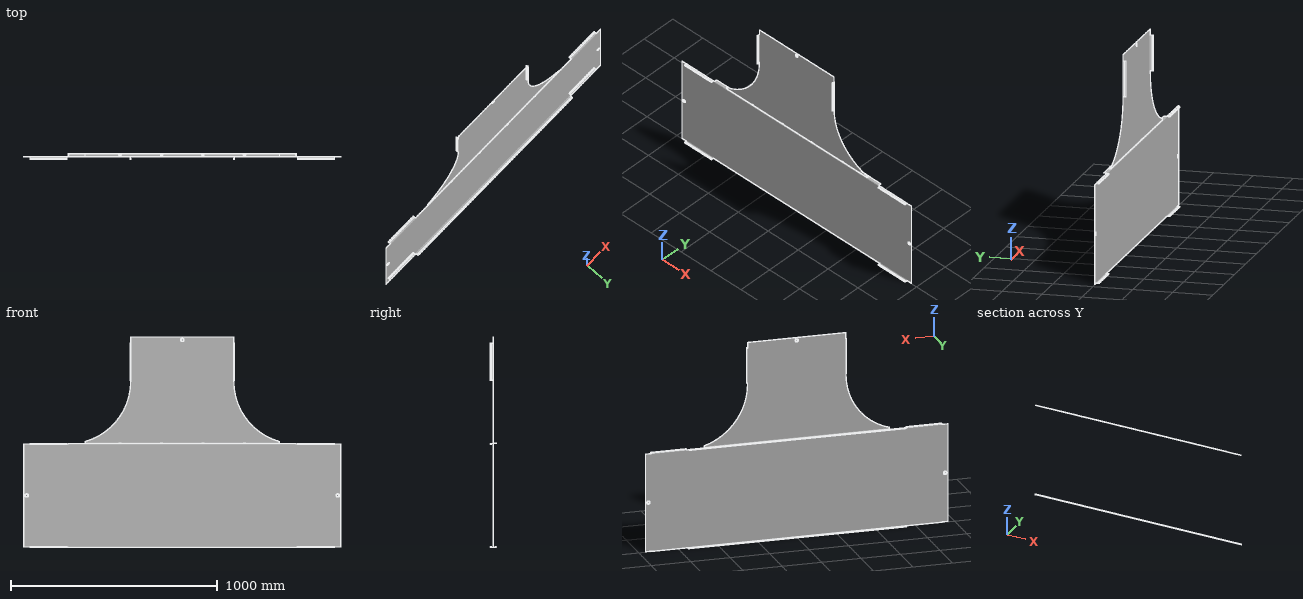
import cadquery as cq
import math

sheet = 1.0
bend_radius = 2.3
flange_tip = 14.5
hem_radius = 2.1
hem_length = 5.0

reach = 767.0
cover_half_width = 252.0
flat_half_width = cover_half_width - bend_radius
straight_length = 216.0
arc_centre = reach - straight_length
flare_half_width = 250.0
corner_radius = arc_centre - flare_half_width
joint_lip_half_length = 549.0
lower_lip_half_length = 552.0
branch_foot_half_width = 470.0

flange_margin = 30.0
flange_length = 180.0
flange_middle = reach - flange_margin - flange_length / 2

lock_inset = 15.0
lock_diameter = 9.0
lock_sink_diameter = 17.0
lock_sink_depth = sheet / 2
bolt_diameter = 10.0
bolt_places = [-300.0, -100.0, 100.0, 300.0]
bolt_height = (flange_tip + sheet / 2) / 2


def quarter_points(centre, radius):
    """Middle and end of a quarter arc that starts in +Y from the centre and turns to +Z."""
    centre_y, centre_z = centre
    diagonal = radius * math.sqrt(0.5)
    return (centre_y + diagonal, centre_z + diagonal), (centre_y, centre_z + radius)


def bent_flange(length, tip=flange_tip):
    """Flange along X: leaves a plate edge at Z = 0, rises by the bend radius and turns to -Y."""
    inner_radius = bend_radius - sheet
    centre = (sheet / 2 - bend_radius, 0)
    outer_middle, outer_end = quarter_points(centre, bend_radius)
    inner_middle, inner_end = quarter_points(centre, inner_radius)
    return (
        cq.Workplane("YZ")
        .moveTo(sheet / 2, 0)
        .threePointArc(outer_middle, outer_end)
        .lineTo(-tip, bend_radius)
        .lineTo(-tip, inner_radius)
        .lineTo(*inner_end)
        .threePointArc(inner_middle, (-sheet / 2, 0))
        .close()
        .extrude(length / 2, both=True)
    )


def hemmed_flange(length):
    """Bent flange whose tip is folded back on its inner side."""
    fold_y = hem_radius - flange_tip
    return_y = fold_y + hem_length
    inner_radius = hem_radius - sheet
    fold_z = bend_radius - hem_radius
    hem = (
        cq.Workplane("YZ")
        .moveTo(fold_y, fold_z + hem_radius)
        .threePointArc((fold_y - hem_radius, fold_z), (fold_y, fold_z - hem_radius))
        .lineTo(return_y, fold_z - hem_radius)
        .lineTo(return_y, fold_z - inner_radius)
        .lineTo(fold_y, fold_z - inner_radius)
        .threePointArc((fold_y - inner_radius, fold_z), (fold_y, fold_z + inner_radius))
        .close()
        .extrude(length / 2, both=True)
    )
    return bent_flange(length, -fold_y).union(hem)


def lock_hole(x, z):
    """Stepped lock hole, sunk from the front face."""
    face = cq.Workplane("XZ", origin=(x, -sheet / 2, z))
    through = face.circle(lock_diameter / 2).extrude(-sheet)
    sink = face.circle(lock_sink_diameter / 2).extrude(-lock_sink_depth)
    return through.union(sink)


def bolt_holes():
    """Vertical holes through both lips at the joint."""
    joint = cq.Workplane("XY", origin=(0, bolt_height, cover_half_width))
    places = [(x, 0) for x in bolt_places]
    return joint.pushPoints(places).circle(bolt_diameter / 2).extrude(sheet, both=True)


def run_cover():
    """Straight cover with hemmed end flanges to the front and a lip to the back on each edge."""
    cover = cq.Workplane("XY").box(2 * reach, sheet, 2 * flat_half_width)
    for x in (-flange_middle, flange_middle):
        flange = hemmed_flange(flange_length).translate((x, 0, flat_half_width))
        cover = cover.union(flange).union(flange.mirror("XY"))
    joint_lip = bent_flange(2 * joint_lip_half_length).mirror("XZ").translate((0, 0, flat_half_width))
    lower_lip = hemmed_flange(2 * lower_lip_half_length).translate((0, 0, flat_half_width))
    lower_lip = lower_lip.mirror("XZ").mirror("XY")
    cover = cover.union(joint_lip).union(lower_lip)
    for x in (lock_inset - reach, reach - lock_inset):
        cover = cover.cut(lock_hole(x, 0))
    return cover.cut(bolt_holes())


def branch_cover():
    """Flared cover with flanges on its straight end and a back lip that rests on the run."""
    foot_z = cover_half_width + bend_radius
    arc_end_offset = arc_centre - branch_foot_half_width
    arc_end_z = arc_centre - math.sqrt(corner_radius**2 - arc_end_offset**2)
    step_z = flange_middle - flange_length / 2
    plate = (
        cq.Workplane("XZ", origin=(0, sheet / 2, 0))
        .moveTo(-flat_half_width, reach)
        .lineTo(flat_half_width, reach)
        .lineTo(flat_half_width, step_z)
        .lineTo(flare_half_width, step_z)
        .lineTo(flare_half_width, arc_centre)
        .radiusArc((branch_foot_half_width, arc_end_z), -corner_radius)
        .lineTo(branch_foot_half_width, foot_z)
        .lineTo(-branch_foot_half_width, foot_z)
        .lineTo(-branch_foot_half_width, arc_end_z)
        .radiusArc((-flare_half_width, arc_centre), -corner_radius)
        .lineTo(-flare_half_width, step_z)
        .lineTo(-flat_half_width, step_z)
        .close()
        .extrude(sheet)
    )
    flange = hemmed_flange(flange_length).rotate((0, 0, 0), (0, 1, 0), 90)
    flange = flange.translate((flat_half_width, 0, flange_middle))
    lip = bent_flange(2 * branch_foot_half_width).mirror("XZ").mirror("XY").translate((0, 0, foot_z))
    cover = plate.union(flange).union(flange.mirror("YZ")).union(lip)
    return cover.cut(lock_hole(0, reach - lock_inset)).cut(bolt_holes())


run = run_cover()
branch = branch_cover()

result = cq.Compound.makeCompound([run.val(), branch.val()])